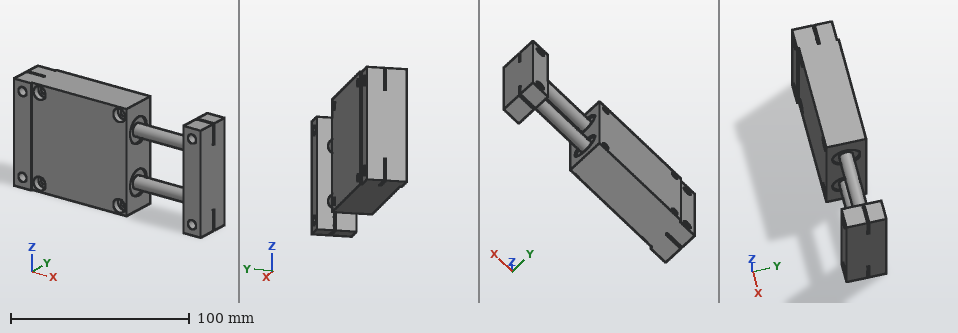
import cadquery as cq

total_length = 129.0
height = 65.0
total_depth = 24.0

plate_thickness = 12.0
body_length = 65.0
plate_offset = 1.0
part_depth = total_depth - plate_offset
body_start = plate_thickness
body_end = body_start + body_length
body_center_x = body_start + body_length / 2

plate_front = 0.0
body_front = plate_front + plate_offset

rod_diameter = 8.0
rod_spacing = 31.7
rod_y = body_front + part_depth / 2

recess_diameter = 16.0
recess_depth = 1.0

slit_width = 1.1

plate_hole_diameter = 5.5
plate_hole_spacing = 52.0

body_hole_diameter = 4.3
counterbore_diameter = 8.1
counterbore_depth = 4.5
body_hole_spacing = 55.0


def block(start_x, length, front_y):
    """Full-height block, centred on Z = 0."""
    corner = (start_x, front_y, -height / 2)
    return cq.Workplane("XY").box(length, part_depth, height, centered=False).translate(corner)


def cylinder_x(diameter, start_x, length, z):
    """Cylinder along +X on a rod axis."""
    plane = cq.Workplane("YZ", origin=(start_x, rod_y, z))
    return plane.circle(diameter / 2).extrude(length)


def cylinder_y(diameter, x, front_y, length, z):
    """Cylinder running back from front_y along +Y."""
    plane = cq.Workplane("XZ", origin=(x, front_y, z))
    return plane.circle(diameter / 2).extrude(-length)


def make_body():
    body = block(body_start, body_length, body_front)
    for x_side in (-1, 1):
        x = body_center_x + x_side * body_hole_spacing / 2
        for z_side in (-1, 1):
            z = z_side * body_hole_spacing / 2
            body = body.cut(cylinder_y(body_hole_diameter, x, body_front, part_depth, z))
            body = body.cut(cylinder_y(counterbore_diameter, x, body_front, counterbore_depth, z))
    for recess_start in (body_start, body_end - recess_depth):
        for z_side in (-1, 1):
            z = z_side * rod_spacing / 2
            body = body.cut(cylinder_x(recess_diameter, recess_start, recess_depth, z))
    return body


def make_plate(start_x):
    plate = block(start_x, plate_thickness, plate_front)
    hole_x = start_x + plate_thickness / 2
    slit_length = (height - rod_spacing) / 2
    for z_side in (-1, 1):
        hole_z = z_side * plate_hole_spacing / 2
        plate = plate.cut(cylinder_y(plate_hole_diameter, hole_x, plate_front, part_depth, hole_z))
        slit_center = (hole_x, rod_y, z_side * (height - slit_length) / 2)
        slit = cq.Workplane("XY").box(plate_thickness, slit_width, slit_length)
        plate = plate.cut(slit.translate(slit_center))
    return plate


result = make_body()
for plate_start in (0, total_length - plate_thickness):
    result = result.union(make_plate(plate_start))

for rod_side in (-1, 1):
    result = result.union(cylinder_x(rod_diameter, 0, total_length, rod_side * rod_spacing / 2))